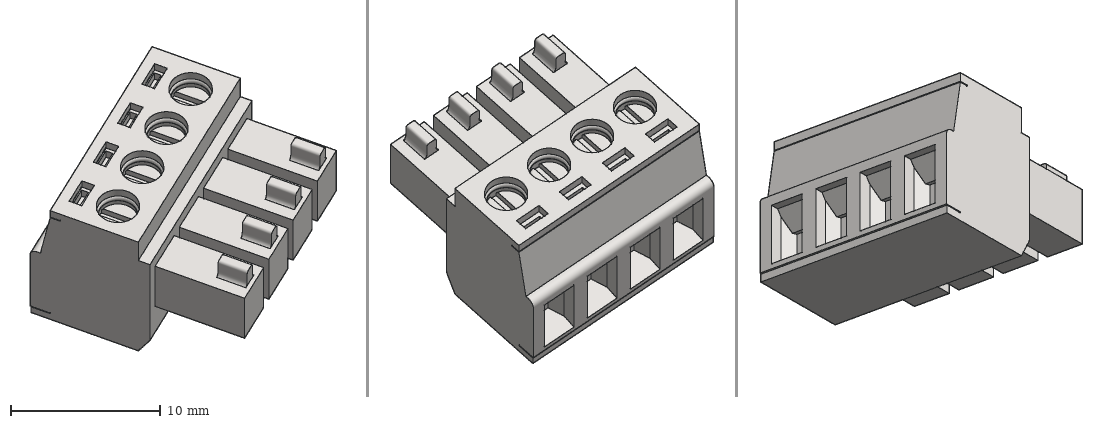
import cadquery as cq

WIDTH = 16.04
HEIGHT = 11.2
LENGTH = 15.55
POLES = 4
PITCH = 3.82
POLE_CENTRES = [(i - (POLES - 1) / 2) * PITCH for i in range(POLES)]

FRONT_X = 1.49
BACK_X = 8.9
BACK_STEP = 0.87
STEP_Z = 9.3
CHAMFER_TOP_Z = 1.5
LEDGE_X = 0.06
CLIP_X = 2.23
RECESS_TOP_Z = 10.54
COVER_GAP = 0.06

COVER_BOTTOM_Z = 0.65
NOSE_TOP_Z = 6.46
NOSE_RADIUS = 0.53
SLOPE_FOOT_X = 0.77

ENTRY_HALF_WIDTH = 1.32
ENTRY_BACK_HALF_WIDTH = 0.85
ENTRY_BOTTOM_Z = 1.05
ENTRY_TOP_Z = 5.47
ENTRY_BACK_BOTTOM_Z = 1.48
ENTRY_BACK_TOP_Z = 3.98
ENTRY_DEPTH = 2.13
ROOF_START_X = 0.65
ROOF_END_X = 1.83
TAPER_START_X = 1.03

SLOT_X = 2.3
SLOT_LENGTH = 0.93
SLOT_WIDTH = 1.99
SLOT_DEPTH = 0.64
INNER_SLOT_X = 2.39
INNER_SLOT_END_X = 2.89
INNER_SLOT_WIDTH = 1.5
INNER_SLOT_DEPTH = 0.64
INNER_CREST_X = 2.57
INNER_FLOOR_DROP = 0.02

SCREW_X = 5.44
HOLE_DIAMETER = 2.9
SCREW_DIAMETER = 2.8
BEAD_TOP_DEPTH = 0.64
BEAD_HEIGHT = 0.42
BEAD_PROJECTION = 0.15
SCREW_TOP_Z = 9.98
SCREW_LENGTH = 1.92
SCREW_EDGE_RADIUS = 0.29
DRIVE_WIDTH = 0.61
DRIVE_DEPTH = 0.48

PLUG_WIDTH = 3.0
PLUG_BOTTOM_Z = 4.19
PLUG_TOP_Z = 8.31
RIB_X = 13.05
RIB_LENGTH = 2.17
RIB_HEIGHT = 1.38
RIB_HALF_WIDTH = 0.42
RIB_FOOT_SPREAD = 0.21
RIB_FOOT_HEIGHT = 0.38
RIB_TOP_RADIUS = 0.21


def across_width(profile):
    """Extrude a closed XZ profile over the full width."""
    return profile.extrude(WIDTH / 2, both=True)


def box(x_start, x_size, y_size, z_bottom, z_size, y_centre):
    """Block given by its start in X, its bottom in Z and its centre in Y."""
    block = cq.Workplane("XY").box(x_size, y_size, z_size, centered=(False, True, False))
    return block.translate((x_start, y_centre, z_bottom))


def housing_block():
    step_x = BACK_X - BACK_STEP
    ledge_z = COVER_BOTTOM_Z - COVER_GAP
    return across_width(
        cq.Workplane("XZ")
        .moveTo(LEDGE_X, 0)
        .lineTo(step_x, 0)
        .lineTo(BACK_X, CHAMFER_TOP_Z)
        .lineTo(BACK_X, STEP_Z)
        .lineTo(step_x, STEP_Z)
        .lineTo(step_x, HEIGHT)
        .lineTo(FRONT_X, HEIGHT)
        .lineTo(FRONT_X, RECESS_TOP_Z)
        .lineTo(CLIP_X, RECESS_TOP_Z)
        .lineTo(CLIP_X, STEP_Z)
        .lineTo(FRONT_X, STEP_Z)
        .lineTo(FRONT_X, ledge_z)
        .lineTo(LEDGE_X, ledge_z)
        .close()
    )


def cover_block():
    clip_top_z = RECESS_TOP_Z - COVER_GAP
    return across_width(
        cq.Workplane("XZ")
        .moveTo(0, COVER_BOTTOM_Z)
        .lineTo(FRONT_X, COVER_BOTTOM_Z)
        .lineTo(FRONT_X, STEP_Z)
        .lineTo(CLIP_X, STEP_Z)
        .lineTo(CLIP_X, clip_top_z)
        .lineTo(FRONT_X, clip_top_z)
        .lineTo(SLOPE_FOOT_X, NOSE_TOP_Z)
        .lineTo(NOSE_RADIUS, NOSE_TOP_Z)
        .radiusArc((0, NOSE_TOP_Z - NOSE_RADIUS), -NOSE_RADIUS)
        .close()
    )


def wire_entry(y):
    """Funnel: sloping roof and floor in side profile, tapering side walls in plan."""
    side_profile = (
        cq.Workplane("XZ")
        .polyline([
            (0, ENTRY_BOTTOM_Z),
            (ENTRY_DEPTH, ENTRY_BACK_BOTTOM_Z),
            (ENTRY_DEPTH, ENTRY_BACK_TOP_Z),
            (ROOF_END_X, ENTRY_BACK_TOP_Z),
            (ROOF_START_X, ENTRY_TOP_Z),
            (0, ENTRY_TOP_Z),
        ])
        .close()
        .extrude(ENTRY_HALF_WIDTH, both=True)
    )
    plan = (
        cq.Workplane("XY")
        .polyline([
            (0, -ENTRY_HALF_WIDTH),
            (TAPER_START_X, -ENTRY_HALF_WIDTH),
            (ENTRY_DEPTH, -ENTRY_BACK_HALF_WIDTH),
            (ENTRY_DEPTH, ENTRY_BACK_HALF_WIDTH),
            (TAPER_START_X, ENTRY_HALF_WIDTH),
            (0, ENTRY_HALF_WIDTH),
        ])
        .close()
        .extrude(HEIGHT)
    )
    return side_profile.intersect(plan).translate((0, y, 0))


def test_slot(y):
    """Rectangular pocket with a narrower, deeper pocket in its floor."""
    shelf_z = HEIGHT - SLOT_DEPTH
    floor_z = shelf_z - INNER_SLOT_DEPTH
    outer = box(SLOT_X, SLOT_LENGTH, SLOT_WIDTH, shelf_z, SLOT_DEPTH, y)
    inner = (
        cq.Workplane("XZ")
        .polyline([
            (INNER_SLOT_X, floor_z),
            (INNER_CREST_X, floor_z),
            (INNER_SLOT_END_X, floor_z - INNER_FLOOR_DROP),
            (INNER_SLOT_END_X, shelf_z),
            (INNER_SLOT_X, shelf_z),
        ])
        .close()
        .extrude(INNER_SLOT_WIDTH / 2, both=True)
        .translate((0, y, 0))
    )
    return outer.union(inner)


def screw_hole(y):
    """Stepped hole whose wall carries a rounded retaining bead above the screw."""
    hole_r = HOLE_DIAMETER / 2
    screw_r = SCREW_DIAMETER / 2
    bead_top_z = HEIGHT - BEAD_TOP_DEPTH
    bead_bottom_z = bead_top_z - BEAD_HEIGHT
    floor_z = SCREW_TOP_Z - SCREW_LENGTH
    bead_tip = (hole_r - BEAD_PROJECTION, bead_top_z - BEAD_HEIGHT / 2)
    return (
        cq.Workplane("XZ")
        .moveTo(0, floor_z)
        .lineTo(screw_r, floor_z)
        .lineTo(screw_r, bead_bottom_z)
        .threePointArc(bead_tip, (hole_r, bead_top_z))
        .lineTo(hole_r, HEIGHT)
        .lineTo(0, HEIGHT)
        .close()
        .revolve(360, (0, 0, 0), (0, 1, 0))
        .translate((SCREW_X, y, 0))
    )


def plug(y):
    return box(BACK_X, LENGTH - BACK_X, PLUG_WIDTH, PLUG_BOTTOM_Z, PLUG_TOP_Z - PLUG_BOTTOM_Z, y)


def latch_rib(y):
    """Upright rib with a rounded top and hollow-curved feet."""
    foot = RIB_HALF_WIDTH + RIB_FOOT_SPREAD
    crown = RIB_HALF_WIDTH - RIB_TOP_RADIUS
    shoulder_z = RIB_HEIGHT - RIB_TOP_RADIUS
    foot_radius = (RIB_FOOT_SPREAD**2 + RIB_FOOT_HEIGHT**2) / (2 * RIB_FOOT_SPREAD)
    return (
        cq.Workplane("YZ")
        .moveTo(-foot, 0)
        .lineTo(foot, 0)
        .radiusArc((RIB_HALF_WIDTH, RIB_FOOT_HEIGHT), foot_radius)
        .lineTo(RIB_HALF_WIDTH, shoulder_z)
        .radiusArc((crown, RIB_HEIGHT), -RIB_TOP_RADIUS)
        .lineTo(-crown, RIB_HEIGHT)
        .radiusArc((-RIB_HALF_WIDTH, shoulder_z), -RIB_TOP_RADIUS)
        .lineTo(-RIB_HALF_WIDTH, RIB_FOOT_HEIGHT)
        .radiusArc((-foot, 0), foot_radius)
        .close()
        .extrude(RIB_LENGTH)
        .translate((RIB_X, y, PLUG_TOP_Z))
    )


def make_housing():
    """Housing with its front cover, fused into one solid."""
    housing = housing_block()
    cover = cover_block()
    for y in POLE_CENTRES:
        funnel = wire_entry(y)
        cover = cover.cut(funnel)
        housing = housing.cut(funnel).cut(test_slot(y)).cut(screw_hole(y))
        housing = housing.union(plug(y)).union(latch_rib(y))
    return housing.union(cover, clean=False)


def make_screw(y):
    """Slotted screw with a rounded top edge."""
    screw = (
        cq.Workplane("XY")
        .circle(SCREW_DIAMETER / 2)
        .extrude(SCREW_LENGTH)
        .faces(">Z")
        .edges()
        .fillet(SCREW_EDGE_RADIUS)
        .translate((SCREW_X, y, SCREW_TOP_Z - SCREW_LENGTH))
    )
    drive_start = SCREW_X - SCREW_DIAMETER / 2
    drive = box(drive_start, SCREW_DIAMETER, DRIVE_WIDTH, SCREW_TOP_Z - DRIVE_DEPTH, DRIVE_DEPTH, y)
    return screw.cut(drive)


housing = make_housing()
screws = [make_screw(y) for y in POLE_CENTRES]

result = cq.Compound.makeCompound([housing.val(), *[screw.val() for screw in screws]])